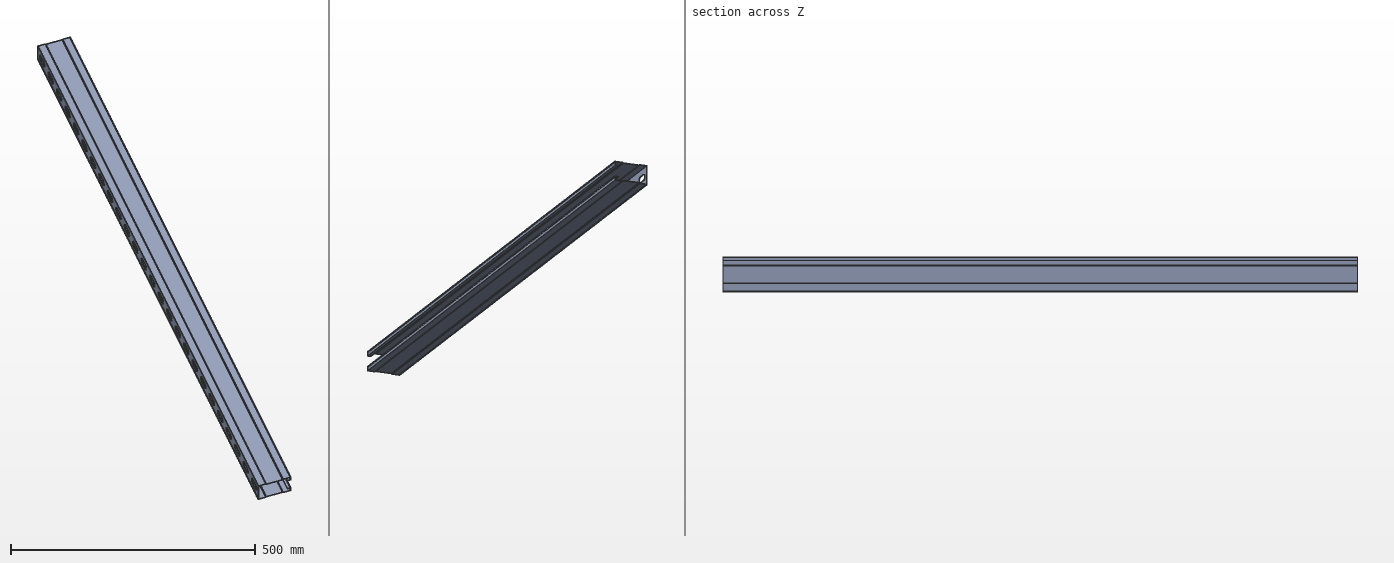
import cadquery as cq

length = 1300.0
depth = 72.0
width = 42.0

thickness = 1.5
lip_width = 9.5
return_length = 7.5

recess_depth = 1.0
recess_floor_width = 35.0
recess_ramp = 1.7

slot_count = 26
slot_pitch = length / slot_count
slot_length = 30.0
slot_width = 13.0

web_y = -depth / 2
open_y = depth / 2
wall_z = width / 2
lip_z = wall_z - lip_width
return_y = open_y - return_length

inner_web_y = web_y + thickness
inner_lip_y = open_y - thickness
inner_wall_z = wall_z - thickness
inner_return_z = lip_z + thickness


def recessed_wall(z):
    """Points of one side-wall surface at height z, stepping into the recess and out again."""
    floor_y = recess_floor_width / 2
    rim_y = floor_y + recess_ramp
    floor_z = z - recess_depth
    return [(-rim_y, z), (-floor_y, floor_z), (floor_y, floor_z), (rim_y, z)]


def channel():
    """Lipped channel: the half above the XY plane, from mid-web to lip, joined to its mirror image."""
    outside = [
        (web_y, 0),
        (web_y, wall_z),
        *recessed_wall(wall_z),
        (open_y, wall_z),
        (open_y, lip_z),
        (return_y, lip_z),
    ]
    inside = [
        (inner_web_y, 0),
        (inner_web_y, inner_wall_z),
        *recessed_wall(inner_wall_z),
        (inner_lip_y, inner_wall_z),
        (inner_lip_y, inner_return_z),
        (return_y, inner_return_z),
    ]
    section = outside + inside[::-1]
    half = cq.Workplane("YZ").polyline(section).close().extrude(length / 2, both=True)
    return half.union(half.mirror("XY")).clean()


def web_slots():
    """Row of round-ended cutters that reach through the web only."""
    return (
        cq.Workplane("XZ", origin=(0, inner_web_y + thickness, 0))
        .rarray(slot_pitch, 13, slot_count, 1)
        .slot2D(slot_length, slot_width)
        .extrude(3 * thickness)
    )


result = channel().cut(web_slots())